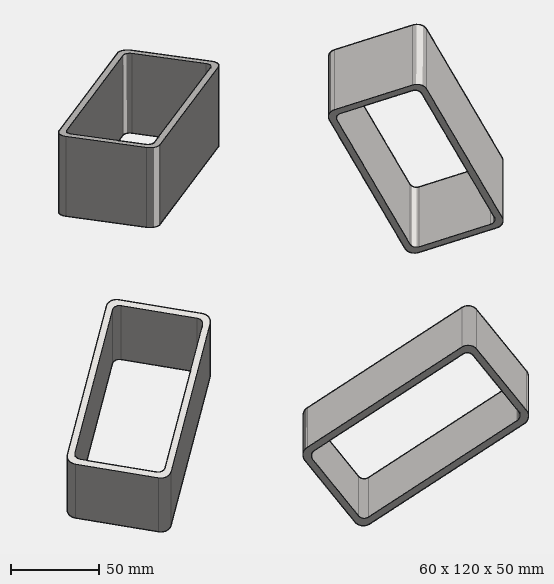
import cadquery as cq

width = 60.0
length = 120.0
height = 50.0

wall = 4.0
outer_corner_radius = 6.0
inner_corner_radius = 4.0


def rounded_block(size_x, size_y, corner_radius):
    """Upright block standing on Z = 0, with its four vertical edges rounded."""
    block = cq.Workplane("XY").rect(size_x, size_y).extrude(height)
    return block.edges("|Z").fillet(corner_radius)


outer_block = rounded_block(width, length, outer_corner_radius)
opening = rounded_block(width - 2 * wall, length - 2 * wall, inner_corner_radius)

result = outer_block.cut(opening)